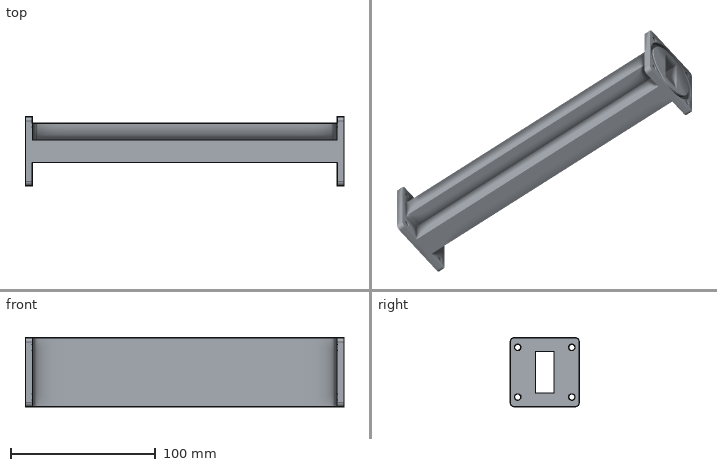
import cadquery as cq

length = 220.0
flange_size = 47.7
flange_thickness = 4.8
flange_corner_radius = 2.9

body_width = 15.8
bore_width = 12.5
bore_height = 28.5

hole_diameter = 4.2
hole_spacing_y = 37.5
hole_spacing_z = 34.3

groove_outer_radius = 22.9
groove_inner_radius = 19.5
groove_depth = 2.5

ledge_reach = 19.4
ledge_height = 15.8
ledge_fillet_radius = 2.6

body_length = length - 2 * flange_thickness
flange_center = (length - flange_thickness) / 2
body_side = body_width / 2


def flange(center_x):
    """Square plate with rounded corners, lying across the X axis."""
    plate = cq.Workplane("XY").box(flange_thickness, flange_size, flange_size)
    return plate.edges("|X").fillet(flange_corner_radius).translate((center_x, 0, 0))


def ledge():
    """Block on the +Y wall, with concave fillets where it runs into the flanges above and below."""
    flared_height = ledge_height + 2 * ledge_fillet_radius
    ledge_thickness = ledge_reach - body_side
    block = cq.Workplane("XY").box(body_length, ledge_thickness, flared_height)
    for side in (-1, 1):
        recess = cq.Workplane("XY").box(body_length, ledge_thickness, flared_height)
        recess = recess.edges("|Y").fillet(ledge_fillet_radius)
        block = block.cut(recess.translate((0, 0, side * (ledge_height + flared_height) / 2)))
    return block.translate((0, body_side + ledge_thickness / 2, 0))


def screw_holes():
    """Four holes parallel to X, passing through both flanges."""
    return (
        cq.Workplane("YZ", origin=(-length / 2, 0, 0))
        .rect(hole_spacing_y, hole_spacing_z, forConstruction=True)
        .vertices()
        .circle(hole_diameter / 2)
        .extrude(length)
    )


def ring_groove():
    """Shallow ring sunk into the outer face at the -X end."""
    return (
        cq.Workplane("YZ", origin=(-length / 2, 0, 0))
        .circle(groove_outer_radius)
        .circle(groove_inner_radius)
        .extrude(groove_depth)
    )


body = cq.Workplane("XY").box(body_length, body_width, flange_size)
bore = cq.Workplane("XY").box(length, bore_width, bore_height)

result = body.union(ledge())
for side in (-1, 1):
    result = result.union(flange(side * flange_center))
result = result.cut(bore).cut(screw_holes()).cut(ring_groove())